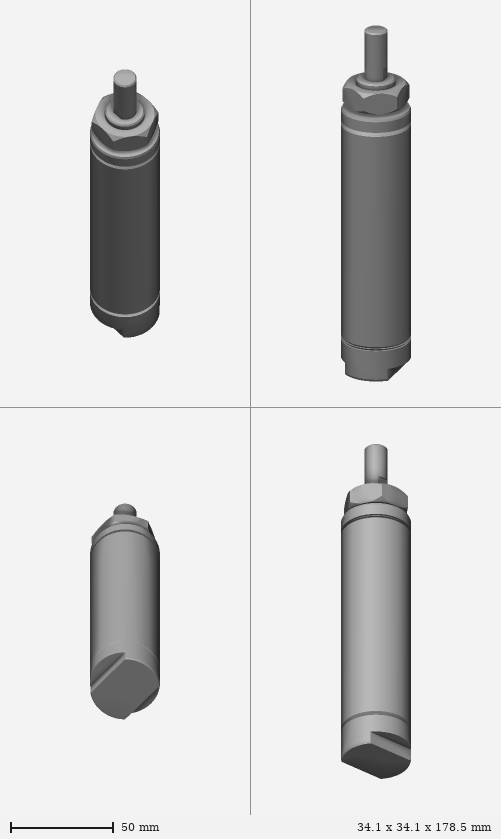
import cadquery as cq
import math

BARREL_DIAMETER = 34.1
BARREL_TOP = 137.7
TOP_CHAMFER_HEIGHT = 1.0
TOP_CHAMFER_WIDTH = 0.5
BASE_CHAMFER_HEIGHT = 1.0
BASE_CHAMFER_WIDTH = 0.4

NOTCH_SIZE = 1.0
NOTCHES_PER_BAND = 2
LOWER_BAND_BOTTOM = 16.0
UPPER_BAND_BOTTOM = 129.0

BASE_FLAT_HEIGHT = 6.5
BASE_ACROSS_FLATS = 22.3

NECK_DIAMETER = 19.1
NECK_TOP = 153.2
NECK_CHAMFER = 0.7

NUT_ACROSS_FLATS = 28.7
NUT_ACROSS_CORNERS = NUT_ACROSS_FLATS / math.cos(math.pi / 6)
NUT_BOTTOM = 139.6
NUT_HEIGHT = 10.9
NUT_CHAMFER = (NUT_ACROSS_CORNERS - NUT_ACROSS_FLATS) / 2
NUT_BORE_CHAMFER = 0.5

ROD_DIAMETER = 11.5
ROD_TOP = 178.5
ROD_CHAMFER = 0.7
ROD_BOTTOM = BARREL_TOP
ROD_ACROSS_FLATS = 9.8
ROD_FLAT_HEIGHT = 6.5


def cylinder(diameter, bottom, top):
    """Vertical cylinder on the Z axis."""
    return cq.Workplane("XY").workplane(offset=bottom).circle(diameter / 2).extrude(top - bottom)


def flat_cutters(diameter, across_flats, bottom, height):
    """Two opposite blocks that leave flats facing -Y and +Y on a cylinder."""
    depth = (diameter - across_flats) / 2
    offset = across_flats / 2 + depth / 2
    return (
        cq.Workplane("XY")
        .workplane(offset=bottom)
        .pushPoints([(0, -offset), (0, offset)])
        .rect(diameter, depth)
        .extrude(height)
    )


def barrel_profile():
    """Half section of the barrel, with chamfered ends and two sawtooth bands."""
    radius = BARREL_DIAMETER / 2
    profile = (
        cq.Workplane("XZ")
        .lineTo(radius - BASE_CHAMFER_WIDTH, 0)
        .lineTo(radius, BASE_CHAMFER_HEIGHT)
    )
    root = radius - NOTCH_SIZE
    profile = profile.lineTo(radius, LOWER_BAND_BOTTOM)
    for index in range(NOTCHES_PER_BAND):
        notch_z = LOWER_BAND_BOTTOM + index * NOTCH_SIZE
        profile = profile.lineTo(root, notch_z).lineTo(radius, notch_z + NOTCH_SIZE)
    profile = profile.lineTo(radius, UPPER_BAND_BOTTOM)
    for index in range(NOTCHES_PER_BAND):
        notch_top = UPPER_BAND_BOTTOM + (index + 1) * NOTCH_SIZE
        profile = profile.lineTo(root, notch_top).lineTo(radius, notch_top)
    return (
        profile.lineTo(radius, BARREL_TOP - TOP_CHAMFER_HEIGHT)
        .lineTo(radius - TOP_CHAMFER_WIDTH, BARREL_TOP)
        .lineTo(0, BARREL_TOP)
        .close()
    )


def make_housing():
    """Barrel and neck, with wrench flats at the base and a socket for the rod."""
    barrel = barrel_profile().revolve(360, (0, 0, 0), (0, 1, 0))
    barrel = barrel.cut(flat_cutters(BARREL_DIAMETER, BASE_ACROSS_FLATS, 0, BASE_FLAT_HEIGHT))
    neck = cylinder(NECK_DIAMETER, BARREL_TOP, NECK_TOP).faces(">Z").chamfer(NECK_CHAMFER)
    socket = cylinder(ROD_DIAMETER, ROD_BOTTOM, NECK_TOP)
    return barrel.union(neck).cut(socket)


def make_nut():
    """Hexagon with corners on the X axis, its bore fitting the neck and chamfered at both ends."""
    hexagon = (
        cq.Workplane("XY")
        .workplane(offset=NUT_BOTTOM)
        .polygon(6, NUT_ACROSS_CORNERS)
        .extrude(NUT_HEIGHT)
    )
    nut_top = NUT_BOTTOM + NUT_HEIGHT
    corner_trim = cylinder(NUT_ACROSS_CORNERS, NUT_BOTTOM, nut_top).faces("<Z or >Z").chamfer(NUT_CHAMFER)
    bore = cylinder(NECK_DIAMETER, NUT_BOTTOM, nut_top)
    nut_body = hexagon.intersect(corner_trim).cut(bore)
    bore_rims = nut_body.faces("<Z or >Z").edges("%CIRCLE").edges(cq.selectors.RadiusNthSelector(0))
    return bore_rims.chamfer(NUT_BORE_CHAMFER)


def make_rod():
    """Round rod with a chamfered tip and two flats just above the neck."""
    rod = cylinder(ROD_DIAMETER, ROD_BOTTOM, ROD_TOP).faces(">Z").chamfer(ROD_CHAMFER)
    return rod.cut(flat_cutters(ROD_DIAMETER, ROD_ACROSS_FLATS, NECK_TOP, ROD_FLAT_HEIGHT))


housing = make_housing()
nut = make_nut()
rod = make_rod()

result = cq.Compound.makeCompound([housing.val(), nut.val(), rod.val()])